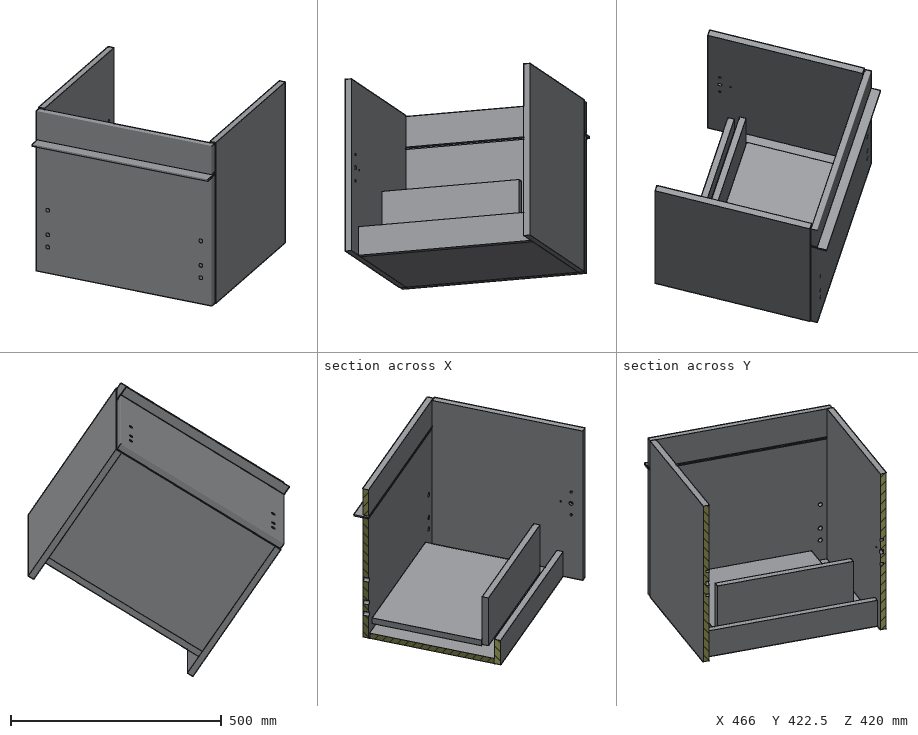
import cadquery as cq
WIDTH = 466.0
HEIGHT = 420.0
TOTAL_DEPTH = 422.5

SIDE_DEPTH = 382.0
SIDE_THICKNESS = 16.0
BOARD_THICKNESS = 16.0
BACK_INSET = 50.0
BACK_HEIGHT = 70.0
INNER_WIDTH = WIDTH - 2 * SIDE_THICKNESS
BACK_REAR_Y = SIDE_DEPTH - BACK_INSET
BACK_FRONT_Y = BACK_REAR_Y - BOARD_THICKNESS

BRACKET_HOLE_Y = 352.5
BRACKET_HOLE_Z = 209.5
BRACKET_HOLE_DIAMETER = 10.0
SCREW_HOLE_DIAMETER = 5.0
SCREW_HOLE_SPACING = 32.0
FRONT_BRACKET_HOLE_OFFSET = 26.5
FRONT_BRACKET_HOLE_DIAMETER = 3.0
SIDE_HOLE_DEPTH = 8.0

FRONT_WIDTH = 462.5
FRONT_THICKNESS = 16.0
FRONT_GAP = 2.5
EDGE_RADIUS = 0.5
UPPER_FRONT_DROP = 2.0
UPPER_FRONT_HEIGHT = 75.0
UPPER_FRONT_TOP = HEIGHT - UPPER_FRONT_DROP
UPPER_FRONT_BOTTOM = UPPER_FRONT_TOP - UPPER_FRONT_HEIGHT
LOWER_FRONT_BOTTOM = 0.0
FRONT_REAR_Y = -FRONT_GAP
FRONT_FACE_Y = FRONT_REAR_Y - FRONT_THICKNESS

HANDLE_CLEARANCE = 3.0
TONGUE_THICKNESS = 3.0
GRIP_THICKNESS = 5.0
HANDLE_TOP = UPPER_FRONT_BOTTOM - HANDLE_CLEARANCE
TONGUE_BOTTOM = HANDLE_TOP - TONGUE_THICKNESS
GRIP_BOTTOM = HANDLE_TOP - GRIP_THICKNESS
HANDLE_TIP_Y = SIDE_DEPTH - TOTAL_DEPTH

FIXING_HOLE_X = 201.5
FIXING_HOLE_HEIGHTS = (67.5, 99.5, 163.5)
FIXING_HOLE_DIAMETER = 10.0
FIXING_HOLE_DEPTH = 14.0

DRAWER_BOTTOM_WIDTH = 357.5
DRAWER_BOTTOM_LENGTH = 277.0
DRAWER_BOTTOM_Z = 28.0
DRAWER_BACK_WIDTH = 345.0
DRAWER_BACK_TOP = 162.0
DRAWER_BOTTOM_REAR_Y = FRONT_REAR_Y + DRAWER_BOTTOM_LENGTH


def board(width, y_front, y_rear, z_low, z_high):
    """Box centred on X = 0 between the given Y and Z limits."""
    block = cq.Workplane("XY").box(width, y_rear - y_front, z_high - z_low, centered=(True, False, False))
    return block.translate((0, y_front, z_low))


def drill(panel, start, direction, diameter, depth):
    """Cut a blind round hole into a panel from a start point along a direction."""
    hole = cq.Solid.makeCylinder(diameter / 2, depth, cq.Vector(*start), cq.Vector(*direction))
    return panel.cut(cq.Workplane(hole))


def side(direction):
    """Side board on the +X or -X end (direction +1 or -1), drilled from its inner face."""
    panel = board(SIDE_THICKNESS, 0, SIDE_DEPTH, 0, HEIGHT)
    panel = panel.translate((direction * (WIDTH - SIDE_THICKNESS) / 2, 0, 0))
    holes = [
        (BRACKET_HOLE_Y, BRACKET_HOLE_Z, BRACKET_HOLE_DIAMETER),
        (BRACKET_HOLE_Y - FRONT_BRACKET_HOLE_OFFSET, BRACKET_HOLE_Z, FRONT_BRACKET_HOLE_DIAMETER),
        (BRACKET_HOLE_Y, BRACKET_HOLE_Z + SCREW_HOLE_SPACING, SCREW_HOLE_DIAMETER),
        (BRACKET_HOLE_Y, BRACKET_HOLE_Z - SCREW_HOLE_SPACING, SCREW_HOLE_DIAMETER),
    ]
    for y, z, diameter in holes:
        start = (direction * INNER_WIDTH / 2, y, z)
        panel = drill(panel, start, (direction, 0, 0), diameter, SIDE_HOLE_DEPTH)
    return panel


def front_panel(z_low, z_high):
    """Front panel with the edges of its outer face rounded."""
    panel = board(FRONT_WIDTH, FRONT_FACE_Y, FRONT_REAR_Y, z_low, z_high)
    return panel.faces("<Y").edges().fillet(EDGE_RADIUS)


def lower_front():
    """Drawer front below the handle, with blind fixing holes in its rear face."""
    panel = front_panel(LOWER_FRONT_BOTTOM, TONGUE_BOTTOM)
    for x in (-FIXING_HOLE_X, FIXING_HOLE_X):
        for z in FIXING_HOLE_HEIGHTS:
            start = (x, FRONT_REAR_Y, z)
            panel = drill(panel, start, (0, -1, 0), FIXING_HOLE_DIAMETER, FIXING_HOLE_DEPTH)
    return panel


def handle():
    """Full-width strip: rounded grip in front of the panels, thin tongue over the drawer front."""
    grip = board(FRONT_WIDTH, HANDLE_TIP_Y, FRONT_FACE_Y, GRIP_BOTTOM, HANDLE_TOP)
    grip = grip.faces("<Y").edges().fillet(EDGE_RADIUS)
    tongue = board(FRONT_WIDTH, FRONT_FACE_Y, FRONT_REAR_Y, TONGUE_BOTTOM, HANDLE_TOP)
    return grip.union(tongue)


def drawer_bottom():
    """Drawer floor running back from the rear of the drawer front."""
    top = DRAWER_BOTTOM_Z + BOARD_THICKNESS
    return board(DRAWER_BOTTOM_WIDTH, FRONT_REAR_Y, DRAWER_BOTTOM_REAR_Y, DRAWER_BOTTOM_Z, top)


def drawer_back():
    """Upright board behind the rear edge of the drawer floor."""
    rear_y = DRAWER_BOTTOM_REAR_Y + BOARD_THICKNESS
    return board(DRAWER_BACK_WIDTH, DRAWER_BOTTOM_REAR_Y, rear_y, DRAWER_BOTTOM_Z, DRAWER_BACK_TOP)


sides = [side(direction) for direction in (-1, 1)]
carcass_bottom = board(INNER_WIDTH, 0, BACK_FRONT_Y, 0, BOARD_THICKNESS)
back_rail = board(INNER_WIDTH, BACK_FRONT_Y, BACK_REAR_Y, 0, BACK_HEIGHT)
upper_front = front_panel(UPPER_FRONT_BOTTOM, UPPER_FRONT_TOP)

bodies = [
    *sides,
    carcass_bottom,
    back_rail,
    upper_front,
    lower_front(),
    handle(),
    drawer_bottom(),
    drawer_back(),
]
result = cq.Compound.makeCompound([body.val() for body in bodies])